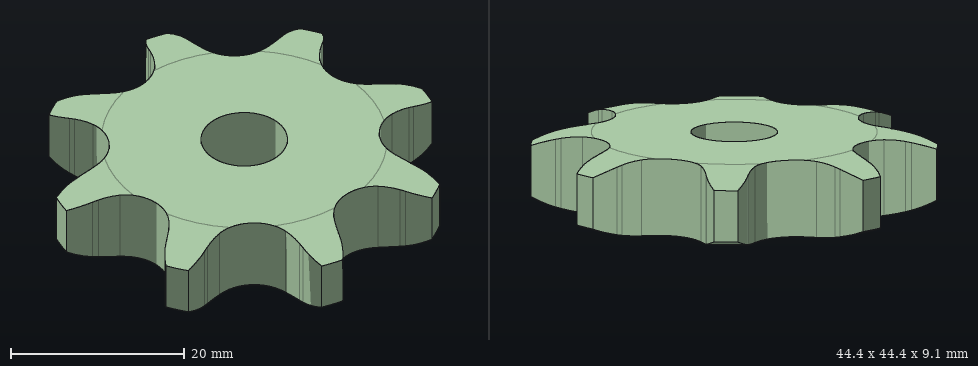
import cadquery as cq
import math

tooth_count = 8
chain_pitch = 15.9
roller_diameter = 10.15
seat_radius = 5.15
tip_radius = 23.48
thickness = 9.1
bore_diameter = 10.0

side_flat_radius = 16.5
side_drop = 1.5

WORKING_OFFSET = 0.8
TOPPING_OFFSET = 1.4

pitch_angle = 360 / tooth_count
pitch_radius = chain_pitch / (2 * math.sin(math.radians(pitch_angle / 2)))
seat_angle = 35 + 60 / tooth_count
working_angle = 18 - 56 / tooth_count
straight_angle = 17 - 64 / tooth_count
flank_angle = seat_angle - working_angle

working_radius = seat_radius + WORKING_OFFSET * roller_diameter
straight_length = roller_diameter * (
    TOPPING_OFFSET * math.sin(math.radians(straight_angle))
    - WORKING_OFFSET * math.sin(math.radians(working_angle))
)
topping_radius = roller_diameter * (
    WORKING_OFFSET * math.cos(math.radians(working_angle))
    + TOPPING_OFFSET * math.cos(math.radians(straight_angle))
) - working_radius


def move(point, distance, degrees):
    """Point reached by going a distance in the given direction."""
    angle = math.radians(degrees)
    return (point[0] + distance * math.cos(angle), point[1] + distance * math.sin(angle))


def direction(start, end):
    """Direction from one point to another, in degrees."""
    return math.degrees(math.atan2(end[1] - start[1], end[0] - start[0]))


def circle_crossing(center, radius, outer_radius):
    """Crossing with a circle about the origin, counterclockwise of the center."""
    distance = math.hypot(*center)
    cosine = (distance**2 + outer_radius**2 - radius**2) / (2 * distance * outer_radius)
    turn = math.degrees(math.acos(cosine))
    return move((0, 0), outer_radius, direction((0, 0), center) + turn)


def mirror(point):
    return (-point[0], point[1])


seat_center = (0, pitch_radius)
seat_bottom = move(seat_center, seat_radius, -90)
seat_end = move(seat_center, seat_radius, -seat_angle)
working_center = move(seat_end, working_radius, 180 - seat_angle)
working_mid = move(working_center, working_radius, -(seat_angle + flank_angle) / 2)
working_end = move(working_center, working_radius, -flank_angle)
straight_end = move(working_end, straight_length, 90 - flank_angle)
topping_center = move(straight_end, topping_radius, -flank_angle)
tip_corner = circle_crossing(topping_center, topping_radius, tip_radius)
topping_mid_angle = (180 - flank_angle + direction(topping_center, tip_corner)) / 2
topping_mid = move(topping_center, topping_radius, topping_mid_angle)


def make_gap_cutter():
    """Tooth gap, closed by straight sides that leave the tip circle radially."""
    outer_corner = move(tip_corner, tip_radius, direction((0, 0), tip_corner))
    return (
        cq.Workplane("XY", origin=(0, 0, -thickness / 2))
        .moveTo(*mirror(outer_corner))
        .lineTo(*mirror(tip_corner))
        .threePointArc(mirror(topping_mid), mirror(straight_end))
        .lineTo(*mirror(working_end))
        .threePointArc(mirror(working_mid), mirror(seat_end))
        .threePointArc(seat_bottom, seat_end)
        .threePointArc(working_mid, working_end)
        .lineTo(*straight_end)
        .threePointArc(topping_mid, tip_corner)
        .lineTo(*outer_corner)
        .close()
        .extrude(thickness)
    )


def make_blank():
    """Disc whose sides curve in towards the tip, tangent to the flat faces."""
    half = thickness / 2
    curve_width = tip_radius - side_flat_radius
    curve_radius = (curve_width**2 + side_drop**2) / (2 * side_drop)
    curve_center = (side_flat_radius, half - curve_radius)
    tip_edge = (tip_radius, half - side_drop)
    curve_mid = move(curve_center, curve_radius, (90 + direction(curve_center, tip_edge)) / 2)
    return (
        cq.Workplane("XZ")
        .moveTo(0, -half)
        .lineTo(side_flat_radius, -half)
        .threePointArc((curve_mid[0], -curve_mid[1]), (tip_edge[0], -tip_edge[1]))
        .lineTo(*tip_edge)
        .threePointArc(curve_mid, (side_flat_radius, half))
        .lineTo(0, half)
        .close()
        .revolve(360, (0, 0), (0, 1))
    )


result = make_blank()
gap_cutter = make_gap_cutter()
for index in range(tooth_count):
    result = result.cut(gap_cutter.rotate((0, 0, 0), (0, 0, 1), index * pitch_angle))

bore = cq.Workplane("XY", origin=(0, 0, -thickness / 2)).circle(bore_diameter / 2).extrude(thickness)
result = result.cut(bore)